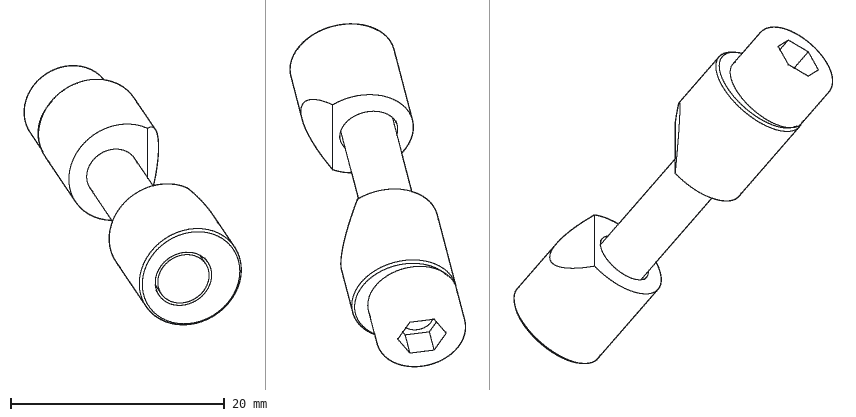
import cadquery as cq
import math

overall_length = 38.0
head_length = 5.0
collar_length = 10.0
far_collar_start = overall_length - collar_length

collar_diameter = 10.0
rim_chamfer = 0.23
bevel_length = 4.0
bevel_angle = 30.0
bevel_depth = bevel_length * math.tan(math.radians(bevel_angle))
near_hole_diameter = 5.0
far_hole_diameter = 5.5

head_diameter = 8.5
shank_diameter = near_hole_diameter
screw_y = (head_diameter - collar_diameter) / 2
head_fillet = 0.6
socket_across_flats = 4.0
socket_depth = 2.5
cone_diameter = 3.05
drill_point_angle = 118.0
cone_depth = cone_diameter / 2 / math.tan(math.radians(drill_point_angle / 2))


def section_at(x, y=0.0):
    """Workplane facing +X at the given X, centred on the given Y."""
    return cq.Workplane("YZ", origin=(x, y, 0))


def make_collar(outer_x, inner_x, hole_diameter):
    """Bored collar, chamfered at its outer face and bevelled at its inner face."""
    start_x = min(outer_x, inner_x)
    inward = math.copysign(1, inner_x - outer_x)
    outer_face = "<X" if inward > 0 else ">X"
    collar = section_at(start_x).circle(collar_diameter / 2).extrude(collar_length)
    collar = collar.faces(outer_face).edges().chamfer(rim_chamfer)

    side_y = collar_diameter / 2
    bevel = (
        cq.Workplane("XY")
        .moveTo(inner_x - inward * bevel_length, side_y)
        .lineTo(inner_x, side_y - bevel_depth)
        .lineTo(inner_x, side_y)
        .close()
        .extrude(collar_diameter / 2, both=True)
    )
    hole = section_at(start_x, screw_y).circle(hole_diameter / 2).extrude(collar_length)
    return collar.cut(bevel).cut(hole)


def make_screw():
    """Socket head screw whose shank reaches the outer face of the far collar."""
    head = section_at(0, screw_y).circle(head_diameter / 2).extrude(head_length)
    head = head.faces("<X").edges().fillet(head_fillet)
    shank_length = overall_length - head_length
    shank = section_at(head_length, screw_y).circle(shank_diameter / 2).extrude(shank_length)

    across_corners = socket_across_flats / math.cos(math.radians(30))
    socket = section_at(0, screw_y).polygon(6, across_corners).extrude(socket_depth)
    drill_point = cq.Solid.makeCone(
        cone_diameter / 2,
        0,
        cone_depth,
        pnt=cq.Vector(socket_depth, screw_y, 0),
        dir=cq.Vector(1, 0, 0),
    )
    return head.union(shank).cut(socket).cut(cq.Workplane(drill_point))


near_collar = make_collar(head_length, head_length + collar_length, near_hole_diameter)
far_collar = make_collar(overall_length, far_collar_start, far_hole_diameter)
screw = make_screw()

result = cq.Compound.makeCompound([near_collar.val(), far_collar.val(), screw.val()])